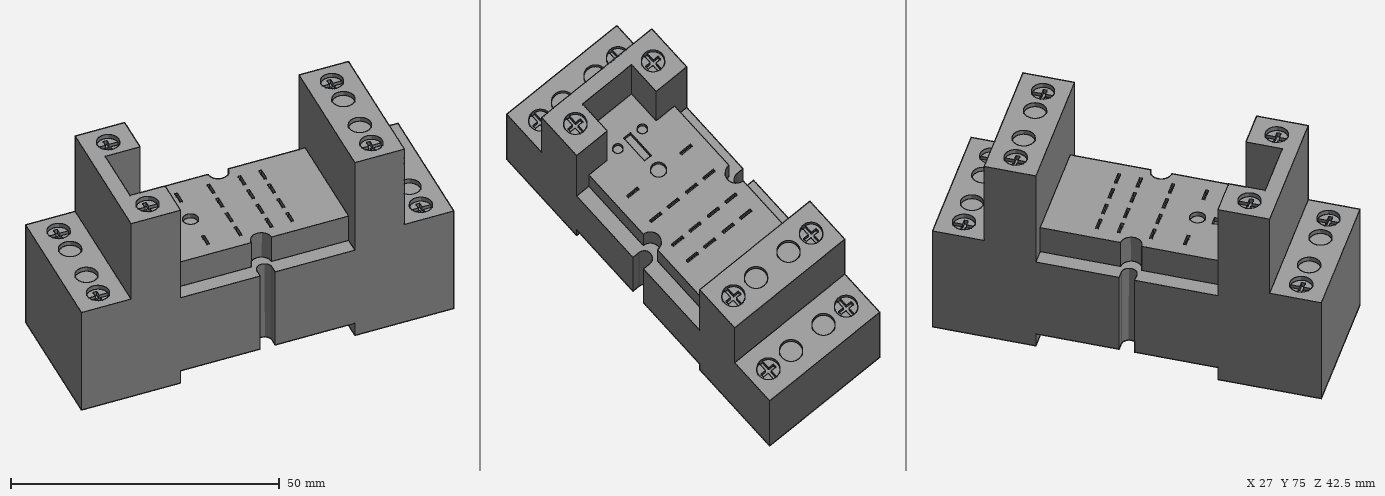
import cadquery as cq

WIDTH = 27.0
LENGTH = 75.0
HEIGHT = 42.5
STEP_LENGTH = 10.0
STEP_HEIGHT = 24.0
LEDGE_HEIGHT = 21.0
FOOT_HEIGHT = 3.0
TOWER_INNER_Y = LENGTH / 2 - 2 * STEP_LENGTH
TOWER_OUTER_Y = LENGTH / 2 - STEP_LENGTH

SEAT_WIDTH = 21.0
SEAT_HEIGHT = 27.0

RECESS_WIDTH = 12.0
RECESS_DEPTH = 7.05

NOTCH_RADIUS = 1.5
NOTCH_DEPTH = (WIDTH - SEAT_WIDTH) / 2
HEAD_RADIUS = 2.0

SCREW_X = 9.5
WELL_X = 4.0
WELL_RADIUS = 2.2
WELL_DEPTH = 1.0
CROSS_WIDTH = 0.75
CROSS_SHORT = 3.1
CROSS_DEPTH = 1.0

SEAT_CUT_DEPTH = 1.0
SLIT_LENGTH = 2.55
SLIT_WIDTH = 0.5
SLIT_OUTER_X = 6.5
SLIT_INNER_X = 2.25
FULL_SLIT_ROWS = (7.35, 3.15, -3.1)
COIL_SLIT_ROW = -9.6
CENTER_HOLE_RADIUS = 1.5
CENTER_HOLE_Y = -9.9
KEY_WIDTH = 1.65
KEY_LENGTH = 5.9
KEY_Y = -15.9
PIN_HOLE_RADIUS = 1.0
PIN_HOLE_X = 3.0
PIN_HOLE_Y = -18.0


def block(x_size, y_size, z_bottom, z_top, x=0.0, y=0.0):
    """Box centred on (x, y) between two heights."""
    return (
        cq.Workplane("XY", origin=(x, y, z_bottom))
        .rect(x_size, y_size)
        .extrude(z_top - z_bottom)
    )


def cylinder(radius, z_bottom, z_top, x, y):
    """Upright cylinder between two heights."""
    return cq.Workplane("XY", origin=(x, y, z_bottom)).circle(radius).extrude(z_top - z_bottom)


def stepped_body():
    """Side profile with feet, terminal steps and towers, extruded across the width."""
    half_profile = [
        (LENGTH / 2, 0),
        (LENGTH / 2, STEP_HEIGHT),
        (TOWER_OUTER_Y, STEP_HEIGHT),
        (TOWER_OUTER_Y, HEIGHT),
        (TOWER_INNER_Y, HEIGHT),
        (TOWER_INNER_Y, LEDGE_HEIGHT),
    ]
    mirrored = [(-y, z) for y, z in reversed(half_profile)]
    feet = [
        (-TOWER_INNER_Y, 0),
        (-TOWER_INNER_Y, FOOT_HEIGHT),
        (TOWER_INNER_Y, FOOT_HEIGHT),
        (TOWER_INNER_Y, 0),
    ]
    outline = half_profile + mirrored + feet
    return cq.Workplane("YZ").polyline(outline).close().extrude(WIDTH / 2, both=True)


def side_notch(side):
    """Round-ended slot through the flank, widened above the ledge for a screw head."""
    arc_x = side * (WIDTH / 2 - NOTCH_DEPTH + NOTCH_RADIUS)
    edge_x = side * WIDTH / 2
    slot = block(2 * abs(edge_x - arc_x), 2 * NOTCH_RADIUS, 0, HEIGHT, edge_x)
    slot_end = cylinder(NOTCH_RADIUS, 0, HEIGHT, arc_x, 0)
    head = cylinder(HEAD_RADIUS, LEDGE_HEIGHT, HEIGHT, side * SEAT_WIDTH / 2, 0)
    return slot.union(slot_end).union(head)


def well(x, y, top):
    """Shallow round well."""
    return cylinder(WELL_RADIUS, top - WELL_DEPTH, top, x, y)


def screw(x, y, top):
    """Well with a cross slot in its floor; the slot along Y spans the whole head."""
    floor = top - WELL_DEPTH
    slot_bottom = floor - CROSS_DEPTH
    short_slot = block(CROSS_SHORT, CROSS_WIDTH, slot_bottom, floor, x, y)
    long_slot = block(CROSS_WIDTH, 2 * WELL_RADIUS, slot_bottom, floor, x, y)
    head = cylinder(WELL_RADIUS, slot_bottom, floor, x, y)
    return well(x, y, top).union(short_slot).union(long_slot.intersect(head))


def seat_block(x_size, y_size, x, y):
    """Rectangular opening in the seat."""
    return block(x_size, y_size, SEAT_HEIGHT - SEAT_CUT_DEPTH, SEAT_HEIGHT, x, y)


def seat_hole(radius, x, y):
    """Round opening in the seat."""
    return cylinder(radius, SEAT_HEIGHT - SEAT_CUT_DEPTH, SEAT_HEIGHT, x, y)


result = stepped_body()
result = result.union(block(SEAT_WIDTH, 2 * TOWER_INNER_Y, FOOT_HEIGHT, SEAT_HEIGHT))
recess_y = -TOWER_INNER_Y - RECESS_DEPTH / 2
result = result.cut(block(RECESS_WIDTH, RECESS_DEPTH, SEAT_HEIGHT, HEIGHT, y=recess_y))

for side in (-1, 1):
    result = result.cut(side_notch(side))

low_row_y = LENGTH / 2 - STEP_LENGTH / 2
high_row_y = low_row_y - STEP_LENGTH
terminal_rows = [
    (low_row_y, STEP_HEIGHT, True),
    (high_row_y, HEIGHT, True),
    (-high_row_y, HEIGHT, False),
    (-low_row_y, STEP_HEIGHT, True),
]
for row_y, row_top, has_wells in terminal_rows:
    for side in (-1, 1):
        result = result.cut(screw(side * SCREW_X, row_y, row_top))
        if has_wells:
            result = result.cut(well(side * WELL_X, row_y, row_top))

for side in (-1, 1):
    for row_y in FULL_SLIT_ROWS:
        for slit_x in (SLIT_INNER_X, SLIT_OUTER_X):
            result = result.cut(seat_block(SLIT_LENGTH, SLIT_WIDTH, side * slit_x, row_y))
    result = result.cut(seat_block(SLIT_LENGTH, SLIT_WIDTH, side * SLIT_OUTER_X, COIL_SLIT_ROW))

result = result.cut(seat_hole(CENTER_HOLE_RADIUS, 0, CENTER_HOLE_Y))
result = result.cut(seat_block(KEY_WIDTH, KEY_LENGTH, 0, KEY_Y))
for side in (-1, 1):
    result = result.cut(seat_hole(PIN_HOLE_RADIUS, side * PIN_HOLE_X, PIN_HOLE_Y))